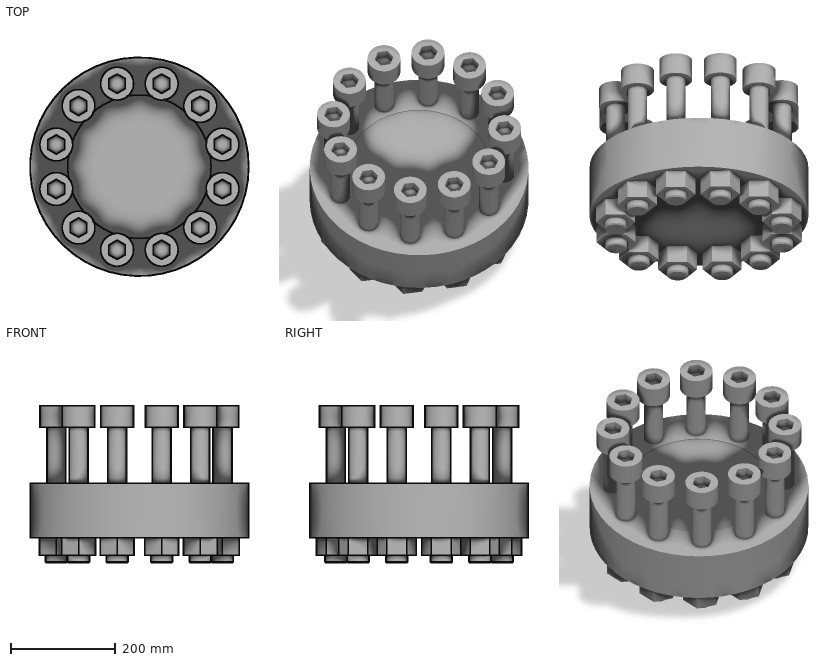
import cadquery as cq
import math

flange_diameter = 420.0
flange_thickness = 105.0
recess_diameter = 275.0
recess_depth = 1.5

bolt_count = 12
bolt_circle_radius = 165.0
first_bolt_angle = 180.0 / bolt_count

thread_diameter = 42.0
shank_diameter = 36.5
head_diameter = 63.0
head_height = thread_diameter
shank_exposed_length = 106.5
shank_well_depth = 1.0
thread_end_chamfer = 2.5
thread_projection = 14.3
socket_across_flats = 32.0
socket_depth = 21.0

nut_across_flats = 65.0
nut_height = 34.0

head_bottom = flange_thickness + shank_exposed_length
head_top = head_bottom + head_height
thread_top = flange_thickness - shank_well_depth
thread_bottom = -nut_height - thread_projection


def cylinder(diameter, bottom, top):
    return cq.Workplane("XY").workplane(offset=bottom).circle(diameter / 2).extrude(top - bottom)


def hexagon(across_flats, bottom, top):
    """Hexagonal prism with two corners on the Y axis."""
    across_corners = across_flats / math.cos(math.radians(30))
    outline = cq.Workplane("XY").workplane(offset=bottom).polygon(6, across_corners)
    return outline.extrude(top - bottom).rotate((0, 0, 0), (0, 0, 1), 30)


def make_flange():
    body = cylinder(flange_diameter, 0, flange_thickness)
    return body.cut(cylinder(recess_diameter, flange_thickness - recess_depth, flange_thickness))


def make_bolt_and_nut():
    thread = cylinder(thread_diameter, thread_bottom, thread_top).faces("<Z").chamfer(thread_end_chamfer)
    shank = cylinder(shank_diameter, thread_top, head_bottom)
    head = cylinder(head_diameter, head_bottom, head_top)
    socket = hexagon(socket_across_flats, head_top - socket_depth, head_top)
    nut = hexagon(nut_across_flats, -nut_height, 0)
    return thread.union(shank).union(head).cut(socket).union(nut)


bolt_and_nut = make_bolt_and_nut()
shank_well = cylinder(thread_diameter, thread_top, flange_thickness)
result = make_flange()
for index in range(bolt_count):
    angle = math.radians(first_bolt_angle + index * 360.0 / bolt_count)
    position = (bolt_circle_radius * math.cos(angle), bolt_circle_radius * math.sin(angle), 0)
    result = result.cut(shank_well.translate(position))
    result = result.union(bolt_and_nut.translate(position))